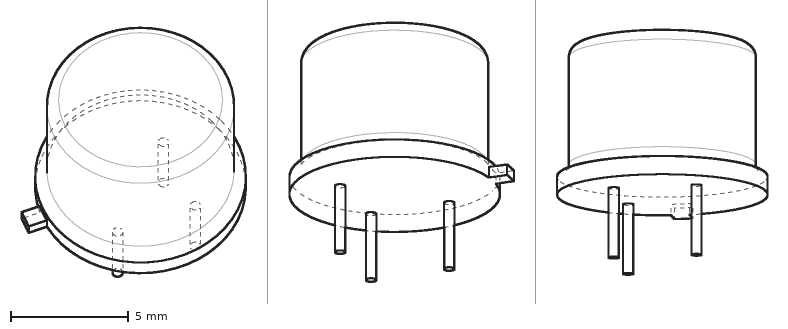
import cadquery as cq
import math

total_height = 9.5
lead_length = 3.02
can_top = total_height - lead_length
flange_height = 0.8
tab_height = 0.48

flange_diameter = 9.0
flange_radius = flange_diameter / 2
can_radius = 4.0
crown_radius = 0.5
foot_radius = flange_radius - can_radius

tab_reach = 5.32
tab_width = 0.81
tab_angle = 225

lead_diameter = 0.45
lead_circle_radius = 2.54
lead_angles = (-90, 0, 90)


def make_can():
    """Revolved can with a rounded crown and a flared foot on a flat flange."""
    diagonal = math.sqrt(0.5)
    crown_mid = (
        can_radius - crown_radius * (1 - diagonal),
        can_top - crown_radius * (1 - diagonal),
    )
    foot_mid = (
        flange_radius - foot_radius * diagonal,
        flange_height + foot_radius * (1 - diagonal),
    )
    profile = (
        cq.Workplane("XZ")
        .lineTo(flange_radius, 0)
        .lineTo(flange_radius, flange_height)
        .threePointArc(foot_mid, (can_radius, flange_height + foot_radius))
        .lineTo(can_radius, can_top - crown_radius)
        .threePointArc(crown_mid, (can_radius - crown_radius, can_top))
        .lineTo(0, can_top)
        .close()
    )
    return profile.revolve(360, (0, 0, 0), (0, 1, 0))


def make_tab():
    """Radial index tab, starting at the axis so that it merges with the flange."""
    tab = cq.Workplane("XY").box(tab_reach, tab_width, tab_height, centered=(False, True, False))
    return tab.rotate((0, 0, 0), (0, 0, 1), tab_angle)


def make_lead(angle):
    """Round wire lead hanging from the underside of the flange."""
    x = lead_circle_radius * math.cos(math.radians(angle))
    y = lead_circle_radius * math.sin(math.radians(angle))
    return cq.Workplane("XY").center(x, y).circle(lead_diameter / 2).extrude(-lead_length)


housing = make_can().union(make_tab())
leads = [make_lead(angle) for angle in lead_angles]

result = cq.Compound.makeCompound([housing.val(), *[lead.val() for lead in leads]])